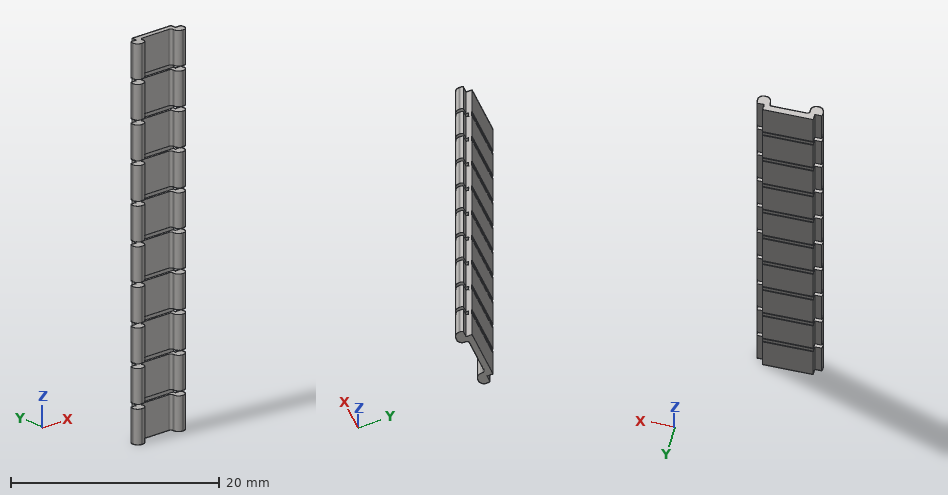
import cadquery as cq

length = 41.5
width = 6.5
depth = 1.6

link_count = 10
gap = 0.5
link_length = (length - (link_count - 1) * gap) / link_count
pitch = link_length + gap

plate_width = 5.02
plate_thickness = 0.62

bead_size = 1.3
bead_corner_radius = 0.6
bead_x = (width - bead_size) / 2
bead_y = bead_size / 2 - depth
bead_inner_x = bead_x - bead_size / 2

inner_fillet_radius = 0.25

strip_thickness = 0.3
strip_setback = 0.1


def block(x_size, y_size, z_size, y_back):
    """Box centred on x = 0, standing on z = 0, with its back face at y_back."""
    box = cq.Workplane("XY").box(x_size, y_size, z_size, centered=(True, False, False))
    return box.translate((0, y_back - y_size, 0))


def make_right_bead():
    """Bead on the +X edge, without the part behind the front of the plate."""
    bead = (
        cq.Workplane("XY")
        .center(bead_x, bead_y)
        .rect(bead_size, bead_size)
        .extrude(link_length)
        .edges("|Z and (<Y or >X)")
        .fillet(bead_corner_radius)
    )
    return bead.intersect(block(width, depth, link_length, -plate_thickness))


def make_link():
    """Plate with a bead along each edge and filleted inner corners."""
    right_bead = make_right_bead()
    link = block(plate_width, plate_thickness, link_length, 0)
    link = link.union(right_bead).union(right_bead.mirror("YZ"))
    for inner_x in (-bead_inner_x, bead_inner_x):
        corner = (inner_x, -plate_thickness, link_length / 2)
        link = link.edges(cq.NearestToPointSelector(corner)).fillet(inner_fillet_radius)
    return link


result = block(plate_width, strip_thickness, length, -strip_setback)
link = make_link()
for index in range(link_count):
    result = result.union(link.translate((0, 0, index * pitch)))